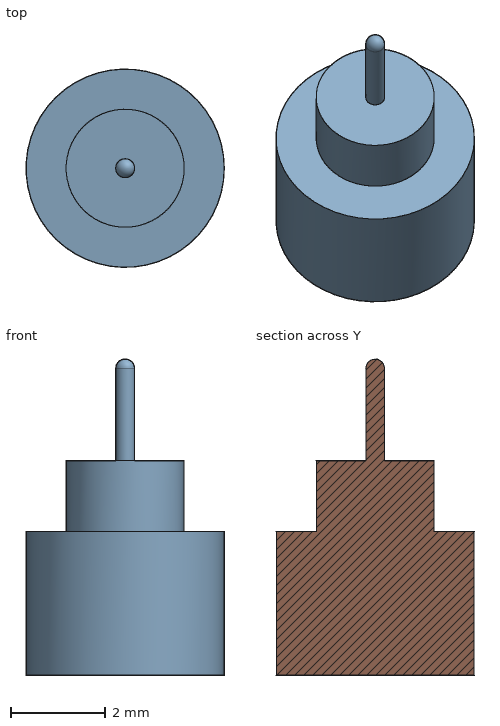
import cadquery as cq

total_height = 6.7
body_diameter = 4.2
body_height = 3.05
neck_diameter = 2.5
neck_height = 1.5
pin_diameter = 0.4

neck_top = body_height + neck_height
pin_radius = pin_diameter / 2
pin_length = total_height - neck_top

body = cq.Workplane("XY").circle(body_diameter / 2).extrude(body_height)
neck = cq.Workplane("XY").workplane(offset=body_height).circle(neck_diameter / 2).extrude(neck_height)

pin_shank = cq.Workplane("XY").workplane(offset=neck_top).circle(pin_radius).extrude(pin_length - pin_radius)
pin_tip = cq.Workplane("XY").sphere(pin_radius).translate((0, 0, total_height - pin_radius))

result = body.union(neck).union(pin_shank).union(pin_tip)